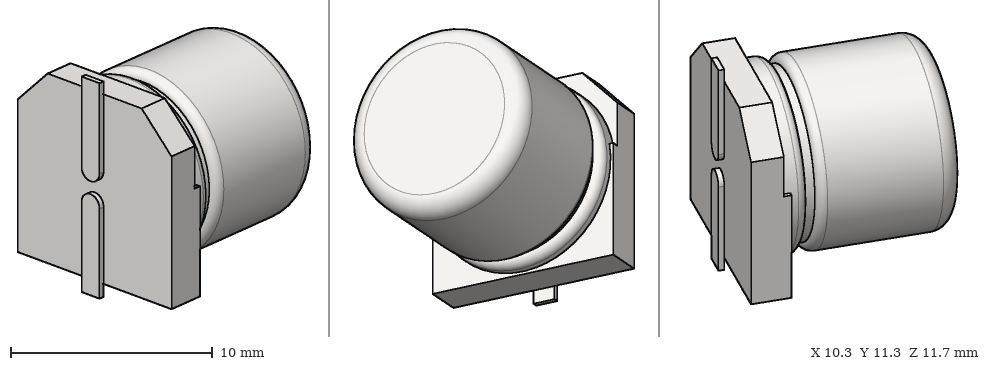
import cadquery as cq
import math


base_width = 10.3
base_chamfer = 2.0
base_thickness = 1.7
raised_thickness = 2.1
raised_top_z = 0.84

can_radius = 5.0
can_end_y = 11.0
can_end_fillet = 1.0
groove_radius = 4.5
groove_start_y = 3.0
groove_end_y = 3.5
groove_lip_fillet = can_radius - groove_radius

terminal_width = 1.2
terminal_thickness = 0.3
terminal_span = 11.7
terminal_gap = 0.7


def make_base():
    """Square plate with two chamfered upper corners and a thicker lower part."""
    half_width = base_width / 2
    plate = (
        cq.Workplane("XY")
        .box(base_width, base_thickness, base_width, centered=(True, False, True))
        .edges("|Y and >Z")
        .chamfer(base_chamfer)
    )
    lower_height = raised_top_z + half_width
    lower_part = (
        cq.Workplane("XY")
        .box(base_width, raised_thickness, lower_height, centered=(True, False, False))
        .translate((0, 0, -half_width))
    )
    return plate.union(lower_part)


def make_can():
    """Revolved can with a rounded far end and a crimp groove between two rounded lips."""
    lip_diagonal = groove_lip_fillet * math.sqrt(0.5)
    end_diagonal = can_end_fillet * math.sqrt(0.5)
    front_lip_y = groove_start_y - groove_lip_fillet
    rear_lip_y = groove_end_y + groove_lip_fillet
    end_fillet_y = can_end_y - can_end_fillet
    end_flat_radius = can_radius - can_end_fillet
    profile = (
        cq.Workplane("XY")
        .lineTo(can_radius, 0)
        .lineTo(can_radius, front_lip_y)
        .threePointArc(
            (groove_radius + lip_diagonal, front_lip_y + lip_diagonal),
            (groove_radius, groove_start_y),
        )
        .lineTo(groove_radius, groove_end_y)
        .threePointArc(
            (groove_radius + lip_diagonal, rear_lip_y - lip_diagonal),
            (can_radius, rear_lip_y),
        )
        .lineTo(can_radius, end_fillet_y)
        .threePointArc(
            (end_flat_radius + end_diagonal, end_fillet_y + end_diagonal),
            (end_flat_radius, can_end_y),
        )
        .lineTo(0, can_end_y)
        .close()
    )
    return profile.revolve(360, (0, 0, 0), (0, 1, 0))


def make_terminal(side):
    """Flat strip on the mounting face, rounded at its inner end; side is +1 or -1 along Z."""
    half_width = terminal_width / 2
    tip_z = side * terminal_gap / 2
    shoulder_z = tip_z + side * half_width
    outer_z = side * terminal_span / 2
    return (
        cq.Workplane("XZ")
        .moveTo(-half_width, outer_z)
        .lineTo(-half_width, shoulder_z)
        .threePointArc((0, tip_z), (half_width, shoulder_z))
        .lineTo(half_width, outer_z)
        .close()
        .extrude(terminal_thickness)
    )


result = make_base().union(make_can())
for terminal_side in (1, -1):
    result = result.union(make_terminal(terminal_side))